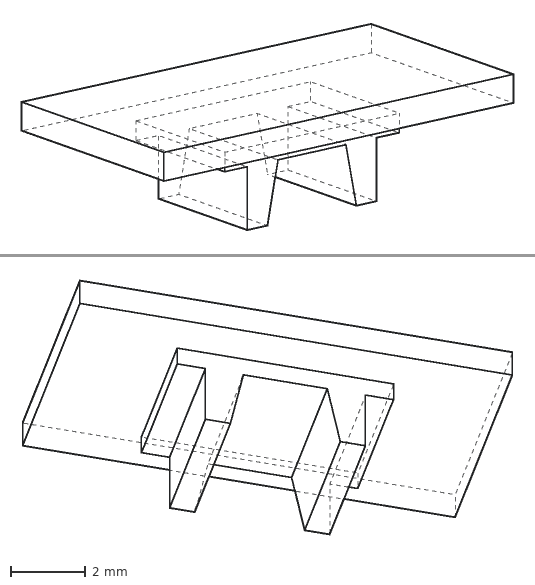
import cadquery as cq

plate_width = 6.15
plate_length = 12.0
plate_thickness = 0.8

pad_width = 3.84
pad_length = 6.0
pad_thickness = 0.55

total_height = 3.13
leg_span = 4.44
leg_root = 1.05
leg_tip = 0.7

pad_top = total_height - plate_thickness
leg_height = pad_top - pad_thickness


def block(width, length, thickness, bottom):
    """Box centred on the Z axis, standing on the height `bottom`."""
    return (
        cq.Workplane("XY")
        .workplane(offset=bottom)
        .rect(width, length)
        .extrude(thickness)
    )


def leg(side):
    """Tapered leg on the +Y (side = 1) or -Y (side = -1) half."""
    outer = leg_span / 2
    profile = [
        (side * outer, 0),
        (side * outer, leg_height),
        (side * (outer - leg_root), leg_height),
        (side * (outer - leg_tip), 0),
    ]
    return cq.Workplane("YZ").polyline(profile).close().extrude(pad_width / 2, both=True)


plate = block(plate_width, plate_length, plate_thickness, pad_top)
pad = block(pad_width, pad_length, pad_thickness, leg_height)

result = plate.union(pad)
for side in (-1, 1):
    result = result.union(leg(side))